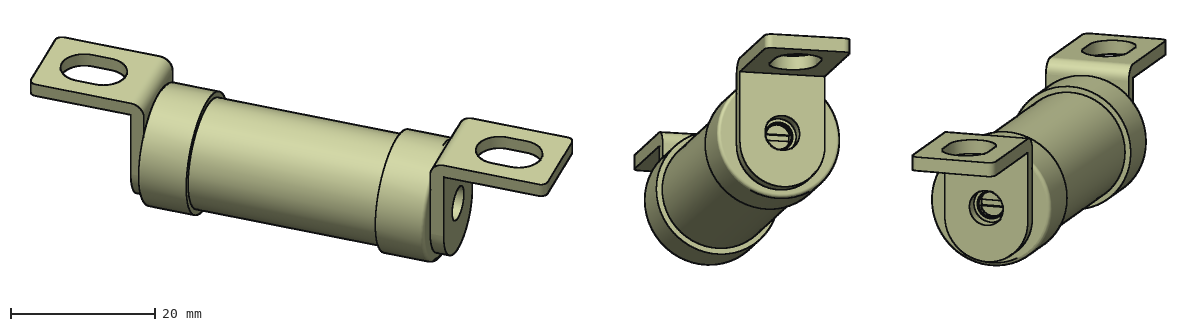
import cadquery as cq

overall_length = 75.8
overall_height = 19.1
body_diameter = 15.85
cap_diameter = 17.5
cap_length = 7.1
cap_rim_radius = 0.5
cap_face_x = 21.0

tag_thickness = 2.0
tag_width = 12.1
tag_corner_radius = 1.0
leg_round_center_z = -1.6
slot_length = 9.4
slot_width = 6.6
slot_end_gap = 2.7

tag_hole_diameter = 4.9
recess_mouth_diameter = 3.95
screw_recess_diameter = 3.65
recess_chamfer_depth = 0.2
screw_recess_depth = 1.0
screw_slot_width = 0.9
screw_slot_depth = 0.5

tag_end_x = overall_length / 2
tag_top_z = overall_height - cap_diameter / 2
leg_outer_x = cap_face_x + tag_thickness
recess_floor_x = cap_face_x - screw_recess_depth


def disc_along_x(diameter, start_x, end_x):
    """Cylinder on the fuse axis between two X positions."""
    return cq.Workplane("YZ", origin=(start_x, 0, 0)).circle(diameter / 2).extrude(end_x - start_x)


def make_cap():
    """End cap with a rounded outer rim."""
    cap = disc_along_x(cap_diameter, cap_face_x - cap_length, cap_face_x)
    return cap.faces(">X").edges().fillet(cap_rim_radius)


def make_tag():
    """Bent strip: a round-ended leg against the cap and a foot pointing outward."""
    bend_start_z = tag_top_z - tag_thickness
    leg_bottom_z = leg_round_center_z - tag_width / 2
    strip = (
        cq.Workplane("XZ")
        .moveTo(cap_face_x, leg_bottom_z)
        .lineTo(cap_face_x, bend_start_z)
        .radiusArc((leg_outer_x, tag_top_z), tag_thickness)
        .lineTo(tag_end_x, tag_top_z)
        .lineTo(tag_end_x, bend_start_z)
        .lineTo(leg_outer_x, bend_start_z)
        .lineTo(leg_outer_x, leg_bottom_z)
        .close()
        .extrude(tag_width / 2, both=True)
    )
    strip = strip.edges("|Z and >X").fillet(tag_corner_radius)

    half_width = tag_width / 2
    outline = (
        cq.Workplane("YZ", origin=(cap_face_x, 0, 0))
        .moveTo(-half_width, tag_top_z)
        .lineTo(-half_width, leg_round_center_z)
        .threePointArc((0, leg_bottom_z), (half_width, leg_round_center_z))
        .lineTo(half_width, tag_top_z)
        .close()
        .extrude(tag_end_x - cap_face_x)
    )
    return strip.intersect(outline)


def make_foot_slot():
    """Elongated hole through the foot of the tag."""
    slot_center_x = tag_end_x - slot_end_gap - slot_length / 2
    return (
        cq.Workplane("XY", origin=(slot_center_x, 0, tag_top_z - tag_thickness))
        .slot2D(slot_length, slot_width)
        .extrude(tag_thickness)
    )


def make_screw_recess():
    """Hole through the leg, a chamfered recess in the cap and a driver slot in its floor."""
    tag_hole = disc_along_x(tag_hole_diameter, cap_face_x, leg_outer_x)
    recess = disc_along_x(screw_recess_diameter, recess_floor_x, cap_face_x)
    mouth = (
        cq.Workplane("YZ", origin=(cap_face_x - recess_chamfer_depth, 0, 0))
        .circle(screw_recess_diameter / 2)
        .workplane(offset=recess_chamfer_depth)
        .circle(recess_mouth_diameter / 2)
        .loft()
    )
    slot_bounds = disc_along_x(screw_recess_diameter, recess_floor_x - screw_slot_depth, recess_floor_x)
    driver_slot = cq.Workplane("XY", origin=(recess_floor_x, 0, 0)).box(
        2 * screw_slot_depth, screw_recess_diameter, screw_slot_width
    )
    return tag_hole.union(recess).union(mouth).union(slot_bounds.intersect(driver_slot))


def make_end():
    """Cap, tag and their openings at the +X end."""
    end = make_cap().union(make_tag())
    return end.cut(make_foot_slot()).cut(make_screw_recess())


body_end_x = cap_face_x - cap_length
body = disc_along_x(body_diameter, -body_end_x, body_end_x)
end = make_end()
result = body.union(end).union(end.mirror("YZ"))